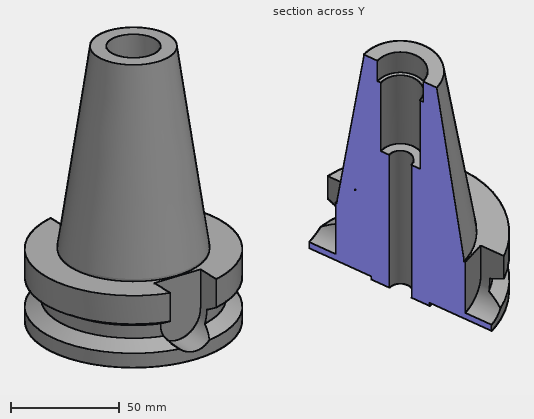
import cadquery as cq

total_height = 141.8
flange_bottom = 2.0
lower_rim_top = 9.4
groove_bottom = 13.5
groove_top = 20.0
upper_rim_bottom = 24.2
flange_top = 38.7
gauge_level = 40.0

boss_radius = 16.0
flange_radius = 100.0 / 2
groove_radius = 42.5
gauge_radius = 69.9 / 2
taper_top_radius = 20.0

through_diameter = 12.0
thread_diameter = 21.3
thread_depth = 56.7
counterbore_diameter = 25.0
counterbore_depth = 13.0

slot_width = 25.7
slot_bottom = 6.2
slot_floor_x = 35.6


def turned_body():
    """Taper, grooved flange and pilot boss in one revolved profile."""
    profile = [
        (0, 0),
        (boss_radius, 0),
        (boss_radius, flange_bottom),
        (flange_radius, flange_bottom),
        (flange_radius, lower_rim_top),
        (groove_radius, groove_bottom),
        (groove_radius, groove_top),
        (flange_radius, upper_rim_bottom),
        (flange_radius, flange_top),
        (gauge_radius, flange_top),
        (gauge_radius, gauge_level),
        (taper_top_radius, total_height),
        (0, total_height),
    ]
    return cq.Workplane("XZ").polyline(profile).close().revolve(360, (0, 0, 0), (0, 1, 0))


def drive_slot(side):
    """Flat-floored slot with a round lower end; side is -1 or +1 along X."""
    end_radius = slot_width / 2
    round_center = slot_bottom + end_radius
    return (
        cq.Workplane("YZ", origin=(side * slot_floor_x, 0, 0))
        .moveTo(-end_radius, flange_top)
        .lineTo(-end_radius, round_center)
        .threePointArc((0, slot_bottom), (end_radius, round_center))
        .lineTo(end_radius, flange_top)
        .close()
        .extrude(side * flange_radius)
    )


def stepped_bore(body):
    """Counterbore, blind thread bore and through hole, from the taper end."""
    body = body.faces(">Z").workplane().hole(through_diameter)
    for diameter, depth in (
        (thread_diameter, thread_depth),
        (counterbore_diameter, counterbore_depth),
    ):
        cutter = cq.Workplane("XY", origin=(0, 0, total_height)).circle(diameter / 2).extrude(-depth)
        body = body.cut(cutter)
    return body


result = stepped_bore(turned_body())
for side in (-1, 1):
    result = result.cut(drive_slot(side))